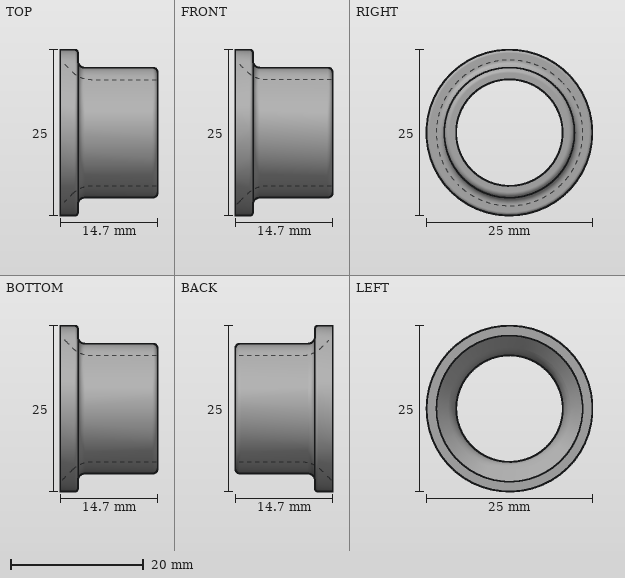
import cadquery as cq
import math

length = 14.7
flange_diameter = 25.0
flange_thickness = 2.7
body_diameter = 19.6
bore_diameter = 16.0

mouth_diameter = 22.0
cone_angle = math.radians(45)
throat_radius = 4.0

flange_edge_radius = 0.5
neck_radius = 1.0
end_edge_radius = 0.8


def flanged_body():
    """Flange and cylindrical body, starting at the flange face on X = 0."""
    flange = cq.Workplane("YZ").circle(flange_diameter / 2).extrude(flange_thickness)
    flange = flange.faces(">X").edges().fillet(flange_edge_radius)
    body = cq.Workplane("YZ").circle(body_diameter / 2).extrude(length)
    body = body.faces(">X").edges().fillet(end_edge_radius)
    return flange.union(body)


def neck_fillet():
    """Ring that fills the corner between the flange and the body."""
    body_radius = body_diameter / 2
    diagonal = neck_radius * (1 - math.sqrt(0.5))
    return (
        cq.Workplane("XY")
        .moveTo(flange_thickness, body_radius + neck_radius)
        .threePointArc(
            (flange_thickness + diagonal, body_radius + diagonal),
            (flange_thickness + neck_radius, body_radius),
        )
        .lineTo(flange_thickness + neck_radius, bore_diameter / 2)
        .lineTo(flange_thickness / 2, bore_diameter / 2)
        .lineTo(flange_thickness / 2, body_radius + neck_radius)
        .close()
        .revolve(360, (0, 0, 0), (1, 0, 0))
    )


def bore_cutter():
    """Through bore with the conical mouth and the rounded throat."""
    bore_radius = bore_diameter / 2
    mouth_radius = mouth_diameter / 2
    arc_center_radius = bore_radius + throat_radius
    cone_end_radius = arc_center_radius - throat_radius * math.cos(cone_angle)
    cone_depth = (mouth_radius - cone_end_radius) / math.tan(cone_angle)
    throat_end = cone_depth + throat_radius * math.sin(cone_angle)
    arc_middle = (
        throat_end - throat_radius * math.sin(cone_angle / 2),
        arc_center_radius - throat_radius * math.cos(cone_angle / 2),
    )
    return (
        cq.Workplane("XY")
        .moveTo(0, 0)
        .lineTo(0, mouth_radius)
        .lineTo(cone_depth, cone_end_radius)
        .threePointArc(arc_middle, (throat_end, bore_radius))
        .lineTo(length, bore_radius)
        .lineTo(length, 0)
        .close()
        .revolve(360, (0, 0, 0), (1, 0, 0))
    )


result = flanged_body().union(neck_fillet()).cut(bore_cutter())